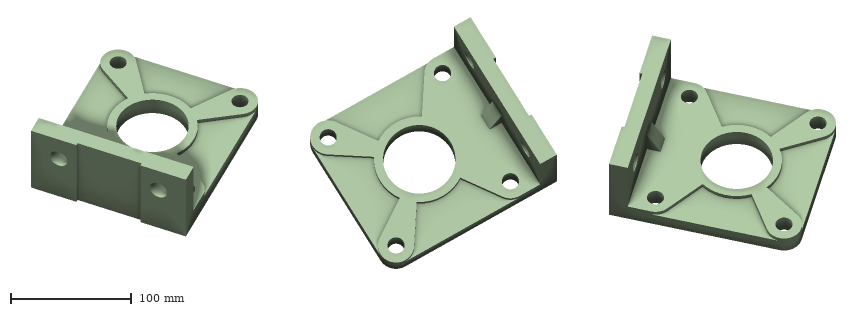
import cadquery as cq
import math

width = 140.0
depth = 161.0
height = 68.0

plate_thickness = 16.1
land_height = 3.9
floor_height = plate_thickness - land_height
corner_radius = 15.0
bolt_offset = width / 2 - corner_radius
bolt_diameter = 14.2

bore_diameter = 60.0
ring_diameter = 75.0
bore_y = depth - width / 2

wall_thickness = 16.1
wall_hole_diameter = 16.0
wall_hole_offset = 45.0
wall_hole_z = 44.9
relief_width = 58.0
relief_depth = 2.4

rib_width = 14.7
rib_length = 11.6
rib_height = 18.5

bolt_points = [
    (side_x * bolt_offset, bore_y + side_y * bolt_offset)
    for side_x in (-1, 1)
    for side_y in (-1, 1)
]


def land_cylinder(x, y, diameter):
    """Round land standing on the plate floor."""
    return cq.Workplane("XY", origin=(x, y, floor_height)).circle(diameter / 2).extrude(land_height)


def land_polygon(points):
    """Straight-sided land standing on the plate floor."""
    return cq.Workplane("XY").workplane(offset=floor_height).polyline(points).close().extrude(land_height)


def arm(x, y):
    """Land whose sides run from the bore centre tangent to a corner boss."""
    span = math.hypot(x, y - bore_y)
    direction = math.atan2(y - bore_y, x)
    half_angle = math.asin(corner_radius / span)
    tangent_length = span * math.cos(half_angle)
    tangent_points = [
        (tangent_length * math.cos(angle), bore_y + tangent_length * math.sin(angle))
        for angle in (direction - half_angle, direction + half_angle)
    ]
    wedge = land_polygon([(0, bore_y), *tangent_points])
    return wedge.union(land_cylinder(x, y, 2 * corner_radius))


def base_plate():
    """Plate with rounded back corners, sunk floor, ring, arms and front land."""
    plate = cq.Workplane("XY").box(width, depth, floor_height, centered=(True, False, False))
    plate = plate.edges("|Z and >Y").fillet(corner_radius)
    plate = plate.union(land_cylinder(0, bore_y, ring_diameter))
    for x, y in bolt_points:
        plate = plate.union(arm(x, y))
    front_bolt_y = bore_y - bolt_offset
    front_land = land_polygon([
        (-width / 2, 0),
        (width / 2, 0),
        (width / 2, front_bolt_y),
        (bolt_offset, front_bolt_y),
        (0, bore_y),
        (-bolt_offset, front_bolt_y),
        (-width / 2, front_bolt_y),
    ])
    return plate.union(front_land)


def wall():
    return cq.Workplane("XY").box(width, wall_thickness, height, centered=(True, False, False))


def rib():
    profile = [
        (wall_thickness, plate_thickness),
        (wall_thickness + rib_length, plate_thickness),
        (wall_thickness, plate_thickness + rib_height),
    ]
    return cq.Workplane("YZ").polyline(profile).close().extrude(rib_width / 2, both=True)


result = base_plate().union(wall()).union(rib())

bore = cq.Workplane("XY").center(0, bore_y).circle(bore_diameter / 2).extrude(plate_thickness)
bolts = cq.Workplane("XY").pushPoints(bolt_points).circle(bolt_diameter / 2).extrude(plate_thickness)
result = result.cut(bore).cut(bolts)

wall_holes = (
    cq.Workplane("XZ")
    .pushPoints([(-wall_hole_offset, wall_hole_z), (wall_hole_offset, wall_hole_z)])
    .circle(wall_hole_diameter / 2)
    .extrude(-wall_thickness)
)
result = result.cut(wall_holes)

relief = cq.Workplane("XY").box(relief_width, relief_depth, height, centered=(True, False, False))
result = result.cut(relief)